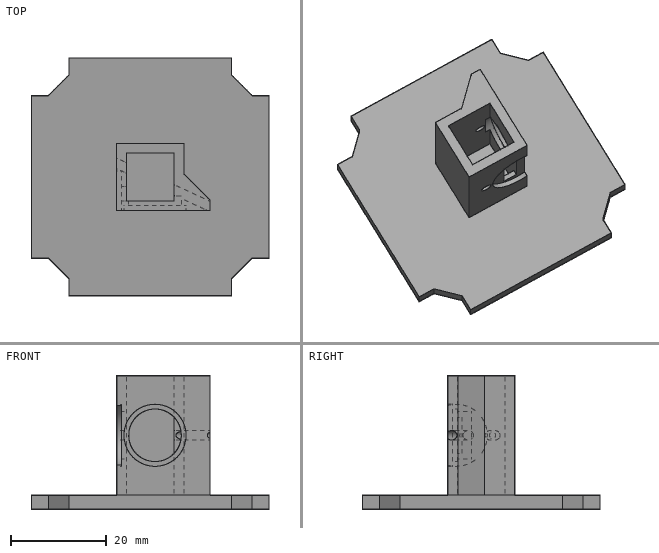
import cadquery as cq
import math

plate_side = 49.8
plate_thickness = 3.0
flat_edge_length = 34.05
notch_step = 3.6

tower_side = 14.05
tower_height = 25.0
wing_reach = 5.55
wing_tip_width = 2.15
pocket_side = 10.0

opening_z = plate_thickness + tower_height / 2
recess_diameter = 13.0
recess_depth = 1.0
lens_diameter = 11.0
lens_depth = 3.05
lens_x = 1.0
side_recess_y = -5.25
window_front_y = -pocket_side / 2
window_width = 3.0
window_height = 10.0

beam_diameter = 2.0
beam_angle = 24.8
beam_entry_y = 2.85

half_tower = tower_side / 2


def make_plate():
    """Square plate with a notch with a diagonal bottom at each corner."""
    edge = plate_side / 2
    flat = flat_edge_length / 2
    step = edge - notch_step
    corner = [(flat, edge), (flat, step), (step, flat), (edge, flat)]
    outline = []
    for sign_x, sign_y in [(1, 1), (1, -1), (-1, -1), (-1, 1)]:
        points = [(sign_x * x, sign_y * y) for x, y in corner]
        outline += points if sign_x == sign_y else points[::-1]
    return cq.Workplane("XY").polyline(outline).close().extrude(plate_thickness)


def make_tower():
    """Square tower whose wing slopes back to the +X face at 45 degrees."""
    tip_x = half_tower + wing_reach
    tip_y = -half_tower + wing_tip_width
    outline = [
        (-half_tower, -half_tower),
        (tip_x, -half_tower),
        (tip_x, tip_y),
        (half_tower, tip_y + wing_reach),
        (half_tower, half_tower),
        (-half_tower, half_tower),
    ]
    plane = cq.Workplane("XY").workplane(offset=plate_thickness)
    return plane.polyline(outline).close().extrude(tower_height)


def cylinder(start, direction, diameter, length):
    """Solid cylinder running from start along direction."""
    return cq.Workplane(cq.Solid.makeCylinder(
        diameter / 2, length, cq.Vector(*start), cq.Vector(*direction)))


def pocket():
    """Square shaft from the tower top down to the plate."""
    plane = cq.Workplane("XY").workplane(offset=plate_thickness)
    return plane.rect(pocket_side, pocket_side).extrude(tower_height)


def front_opening():
    """Stepped round opening through the front wall."""
    start = (lens_x, -half_tower, opening_z)
    recess = cylinder(start, (0, 1, 0), recess_diameter, recess_depth)
    return recess.union(cylinder(start, (0, 1, 0), lens_diameter, lens_depth))


def side_opening():
    """Round recess in the -X face with a rectangular window into the pocket."""
    start = (-half_tower, side_recess_y, opening_z)
    recess = cylinder(start, (1, 0, 0), recess_diameter, recess_depth)
    window = (
        cq.Workplane("XY")
        .box(half_tower, window_width, window_height, centered=False)
        .translate((-half_tower, window_front_y, opening_z - window_height / 2))
    )
    return recess.union(window)


def beam_hole():
    """Slanted hole from the -X face out through the wing tip."""
    angle = math.radians(beam_angle)
    direction = (math.cos(angle), -math.sin(angle), 0)
    lead_in = beam_diameter
    start = (
        -half_tower - lead_in * direction[0],
        beam_entry_y - lead_in * direction[1],
        opening_z,
    )
    return cylinder(start, direction, beam_diameter, plate_side)


result = make_plate().union(make_tower())
for cutter in (pocket(), front_opening(), side_opening(), beam_hole()):
    result = result.cut(cutter)